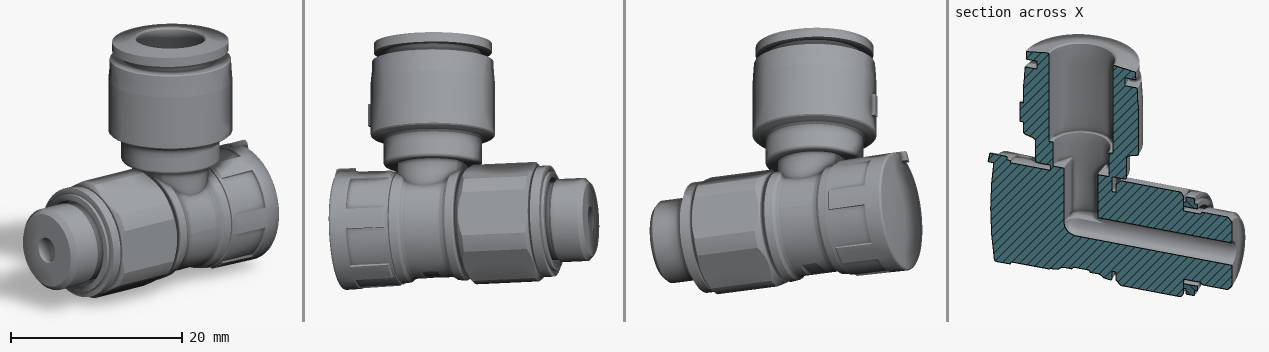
import cadquery as cq
import math


cap_crown_y = 11.37
cap_rim_y = 10.9
cap_skirt_y = 8.83
barrel_half = 3.9
hex_back_y = -4.38
hex_front_y = -12.88
gasket_front_y = -14.62
relief_end_y = -14.95
stem_end_y = -18.95

cap_radius = 6.93
cap_edge_fillet = 0.28
panel_radius = 13.2 / 2
arm_tip_radius = 6.8
arm_tip_bevel = 0.18
arm_width = 2.35
arm_count = 6
arm_end_y = 4.2
pointer_width = 0.77
pointer_ridge_width = 0.37
pointer_low_y = 11.7
pointer_top_y = 11.47
pointer_front_y = 9.25
pointer_low_z = 6.13
pointer_top_z = 7.17
pointer_ridge_height = 0.18

barrel_radius = 13.0 / 2
barrel_edge_chamfer = 0.12
barrel_waist_radius = 6.0
waist_half = 2.15
flank_start = 2.5
flank_start_radius = 6.1
flank_end = 2.88
flank_end_radius = 6.4
notch_half = 0.92
notch_depth = 0.28

journal_radius = 5.35
hex_flats = 13.0
hex_turned_radius = 7.0
hex_back_chamfer = 0.6
hex_front_chamfer = (0.35, 0.52)
thread_radius = 9.72 / 2
relief_radius = 4.57
stem_chamfer = 0.55

gasket_bore_radius = 10.2 / 2
gasket_lip_radius = 11.6 / 2
gasket_flange_radius = 13.0 / 2
gasket_flange_start_y = -13.15
gasket_flange_end_y = -14.25

neck_radius = 4.48
neck_half = 3.9
neck_corner = (1.53, 3.55)
collar_radius = 11.5 / 2
collar_bottom_z = 7.25
collar_fillet = 0.37
collar_top_z = 10.18
port_radius = 14.5 / 2
port_underside_z = 10.42
port_underside_radius = 5.98
port_edge_z = 10.73
port_edge_chamfer = 0.15
port_taper_z = 17.1
port_top_z = 19.7
port_top_radius = 7.08
port_top_bevel_width = 0.2
port_top_bevel_height = 0.1
tab_width = 0.77
tab_reach = 7.7
tab_z = (12.3, 14.87)

sleeve_radius = 11.15 / 2
flange_bottom_z = 20.7
flange_end_radius = 6.5
flange_centre_offset = 0.4
flange_rim_z = 21.77
flange_top_z = 22.15

tube_bore_radius = 8.0 / 2
tube_bore_lead = 0.18
inner_bore_radius = 7.0 / 2
slot_width = 4.23
flow_radius = 2.9 / 2
flow_end_y = 0.65
flow_mouth_chamfer = 0.05


def turned_along_y(points):
    """Solid of revolution about Y from (radius, y) points."""
    return cq.Workplane("XY").polyline(points).close().revolve(360, (0, 0, 0), (0, 1, 0))


def turned_along_z(points):
    """Solid of revolution about Z from (radius, z) points."""
    return cq.Workplane("XZ").polyline(points).close().revolve(360, (0, 0, 0), (0, 1, 0))


def block(x_range, y_range, z_range):
    """Box between the given limits."""
    low, high = zip(x_range, y_range, z_range)
    size = [end - start for start, end in zip(low, high)]
    return cq.Workplane("XY").box(*size, centered=False).translate(low)


def mirrored(width):
    """Limits of a width centred on zero."""
    return (-width / 2, width / 2)


def make_cap():
    """Domed cap tapering into a skirt, with sunken panels that leave raised arms between them."""
    inner_rim = cap_radius - cap_edge_fillet
    fillet_start_y = cap_rim_y - cap_edge_fillet
    bulge = cap_edge_fillet * math.sqrt(0.5)
    dome_drop = cap_crown_y - cap_rim_y
    dome_radius = (inner_rim**2 + dome_drop**2) / (2 * dome_drop)
    dome_mid = inner_rim / 2
    dome_mid_y = cap_crown_y - dome_radius + math.sqrt(dome_radius**2 - dome_mid**2)
    cap = (
        cq.Workplane("XY")
        .moveTo(0, barrel_half)
        .lineTo(panel_radius, barrel_half)
        .lineTo(panel_radius, arm_end_y)
        .lineTo(arm_tip_radius - arm_tip_bevel, arm_end_y)
        .lineTo(arm_tip_radius, arm_end_y + arm_tip_bevel)
        .lineTo(cap_radius, fillet_start_y)
        .threePointArc((inner_rim + bulge, fillet_start_y + bulge), (inner_rim, cap_rim_y))
        .threePointArc((dome_mid, dome_mid_y), (0, cap_crown_y))
        .close()
        .revolve(360, (0, 0, 0), (0, 1, 0))
    )
    panels = (
        cq.Workplane("XZ", origin=(0, cap_skirt_y, 0))
        .circle(cap_radius)
        .circle(panel_radius)
        .extrude(cap_skirt_y - arm_end_y)
    )
    arm = block((0, cap_radius), (arm_end_y, cap_skirt_y), mirrored(arm_width))
    for index in range(arm_count):
        panels = panels.cut(arm.rotate((0, 0, 0), (0, 1, 0), index * 360 / arm_count))
    return cap.cut(panels)


def pointer_bar(width, top_z):
    """Bar along the top of the cap with a slanted end that overhangs the dome."""
    return (
        cq.Workplane("YZ")
        .polyline(
            [
                (pointer_front_y, pointer_low_z),
                (pointer_low_y, pointer_low_z),
                (pointer_top_y, top_z),
                (pointer_front_y, top_z),
            ]
        )
        .close()
        .extrude(width / 2, both=True)
    )


def make_pointer():
    """Pointer bar with a narrow ridge on top."""
    bar = pointer_bar(pointer_width, pointer_top_z)
    return bar.union(pointer_bar(pointer_ridge_width, pointer_top_z + pointer_ridge_height))


def make_barrel():
    """Waisted barrel with a shallow notch underneath."""
    flank = [
        (barrel_radius - barrel_edge_chamfer, barrel_half),
        (barrel_radius, barrel_half - barrel_edge_chamfer),
        (flank_end_radius, flank_end),
        (flank_start_radius, flank_start),
        (barrel_waist_radius, waist_half),
    ]
    mirrored_flank = [(radius, -y) for radius, y in reversed(flank)]
    barrel = turned_along_y([(0, barrel_half), *flank, *mirrored_flank, (0, -barrel_half)])
    notch_top = notch_depth - barrel_waist_radius
    notch = (
        cq.Workplane("YZ")
        .polyline(
            [
                (-notch_half, notch_top),
                (notch_half, notch_top),
                (notch_half + notch_depth, -barrel_waist_radius),
                (-notch_half - notch_depth, -barrel_waist_radius),
            ]
        )
        .close()
        .extrude(barrel_waist_radius, both=True)
    )
    return barrel.cut(notch)


def make_hexagon():
    """Hexagon with two flats facing along X, turned round at its corners and ends."""
    length = hex_back_y - hex_front_y
    corner_diameter = hex_flats / math.cos(math.pi / 6)
    prism = (
        cq.Workplane("XZ", origin=(0, hex_back_y, 0))
        .transformed(rotate=(0, 0, 30))
        .polygon(6, corner_diameter)
        .extrude(length)
    )
    front_length, front_depth = hex_front_chamfer
    turned = turned_along_y(
        [
            (0, hex_back_y),
            (hex_turned_radius - hex_back_chamfer, hex_back_y),
            (hex_turned_radius, hex_back_y - hex_back_chamfer),
            (hex_turned_radius, hex_front_y + front_length),
            (hex_turned_radius - front_depth, hex_front_y),
            (0, hex_front_y),
        ]
    )
    return prism.intersect(turned)


def make_stem():
    """Journal behind the hexagon, and relief and threaded end in front of it."""
    journal = turned_along_y(
        [(0, 0), (journal_radius, 0), (journal_radius, hex_back_y), (0, hex_back_y)]
    )
    thread_start_y = relief_end_y - (thread_radius - relief_radius)
    thread = turned_along_y(
        [
            (0, hex_front_y),
            (relief_radius, hex_front_y),
            (relief_radius, relief_end_y),
            (thread_radius, thread_start_y),
            (thread_radius, stem_end_y + stem_chamfer),
            (thread_radius - stem_chamfer, stem_end_y),
            (0, stem_end_y),
        ]
    )
    return journal.union(thread)


def make_neck():
    """Round neck between barrel and port, flattened in front and behind with bevelled corners."""
    flat_x, round_y = neck_corner
    round_x = math.sqrt(neck_radius**2 - round_y**2)
    return (
        cq.Workplane("XY")
        .moveTo(-flat_x, -neck_half)
        .lineTo(flat_x, -neck_half)
        .lineTo(round_x, -round_y)
        .threePointArc((neck_radius, 0), (round_x, round_y))
        .lineTo(flat_x, neck_half)
        .lineTo(-flat_x, neck_half)
        .lineTo(-round_x, round_y)
        .threePointArc((-neck_radius, 0), (-round_x, -round_y))
        .close()
        .extrude(collar_bottom_z)
    )


def make_port():
    """Port housing with its collar below and a small tab at the back."""
    housing = turned_along_z(
        [
            (0, collar_bottom_z),
            (collar_radius, collar_bottom_z),
            (collar_radius, collar_top_z),
            (port_underside_radius, port_underside_z),
            (port_radius - port_edge_chamfer, port_edge_z),
            (port_radius, port_edge_z + port_edge_chamfer),
            (port_radius, port_taper_z),
            (port_top_radius, port_top_z - port_top_bevel_height),
            (port_top_radius - port_top_bevel_width, port_top_z),
            (0, port_top_z),
        ]
    )
    housing = housing.faces("<Z").edges().fillet(collar_fillet)
    tab = block(mirrored(tab_width), (collar_radius, tab_reach), tab_z)
    return housing.union(tab)


def make_release_sleeve():
    """Sleeve with a flange of two half circles, slightly longer along Y, and a conical top."""
    sleeve = turned_along_z(
        [(0, port_top_z), (sleeve_radius, port_top_z), (sleeve_radius, flange_bottom_z), (0, flange_bottom_z)]
    )
    flange = (
        cq.Workplane("XY", origin=(0, 0, flange_bottom_z))
        .slot2D(2 * (flange_end_radius + flange_centre_offset), 2 * flange_end_radius, 90)
        .extrude(flange_top_z - flange_bottom_z)
    )
    rim_radius = flange_end_radius + flange_centre_offset
    cone = turned_along_z(
        [
            (0, flange_bottom_z),
            (rim_radius, flange_bottom_z),
            (rim_radius, flange_rim_z),
            (tube_bore_radius + tube_bore_lead, flange_top_z),
            (0, flange_top_z),
        ]
    )
    return sleeve.union(flange.intersect(cone))


def make_port_bore():
    """Stepped bore of the port and the slot that opens it into the flow hole."""
    bore = turned_along_z(
        [
            (0, collar_bottom_z),
            (inner_bore_radius, collar_bottom_z),
            (inner_bore_radius, port_underside_z),
            (tube_bore_radius, port_underside_z),
            (tube_bore_radius, flange_top_z - tube_bore_lead),
            (tube_bore_radius + tube_bore_lead, flange_top_z),
            (0, flange_top_z),
        ]
    )
    slot_limit = cq.Workplane("XY").circle(inner_bore_radius).extrude(collar_bottom_z)
    slot = block(mirrored(2 * inner_bore_radius), mirrored(slot_width), (0, collar_bottom_z))
    return bore.union(slot.intersect(slot_limit))


def make_flow_hole():
    """Hole from the stem end, with a bevelled mouth and closed by a half ball."""
    hole = cq.Workplane("XZ", origin=(0, flow_end_y, 0)).circle(flow_radius).extrude(flow_end_y - stem_end_y)
    ball = cq.Workplane("XY", origin=(0, flow_end_y, 0)).sphere(flow_radius)
    mouth = turned_along_y(
        [
            (0, stem_end_y),
            (flow_radius + flow_mouth_chamfer, stem_end_y),
            (flow_radius, stem_end_y + flow_mouth_chamfer),
            (0, stem_end_y + flow_mouth_chamfer),
        ]
    )
    return hole.union(ball).union(mouth)


def make_valve():
    """Complete valve body."""
    valve = make_barrel()
    features = (
        make_cap(),
        make_pointer(),
        make_stem(),
        make_hexagon(),
        make_neck(),
        make_port(),
        make_release_sleeve(),
    )
    for feature in features:
        valve = valve.union(feature)
    return valve.cut(make_port_bore()).cut(make_flow_hole())


def make_gasket():
    """Ring with a raised flange, clear of the thread and resting on the hexagon."""
    return turned_along_y(
        [
            (gasket_bore_radius, hex_front_y),
            (gasket_lip_radius, hex_front_y),
            (gasket_lip_radius, gasket_flange_start_y),
            (gasket_flange_radius, gasket_flange_start_y),
            (gasket_flange_radius, gasket_flange_end_y),
            (gasket_lip_radius, gasket_flange_end_y),
            (gasket_lip_radius, gasket_front_y),
            (gasket_bore_radius, gasket_front_y),
        ]
    )


valve = make_valve()
gasket = make_gasket()
result = cq.Compound.makeCompound([valve.val(), gasket.val()])